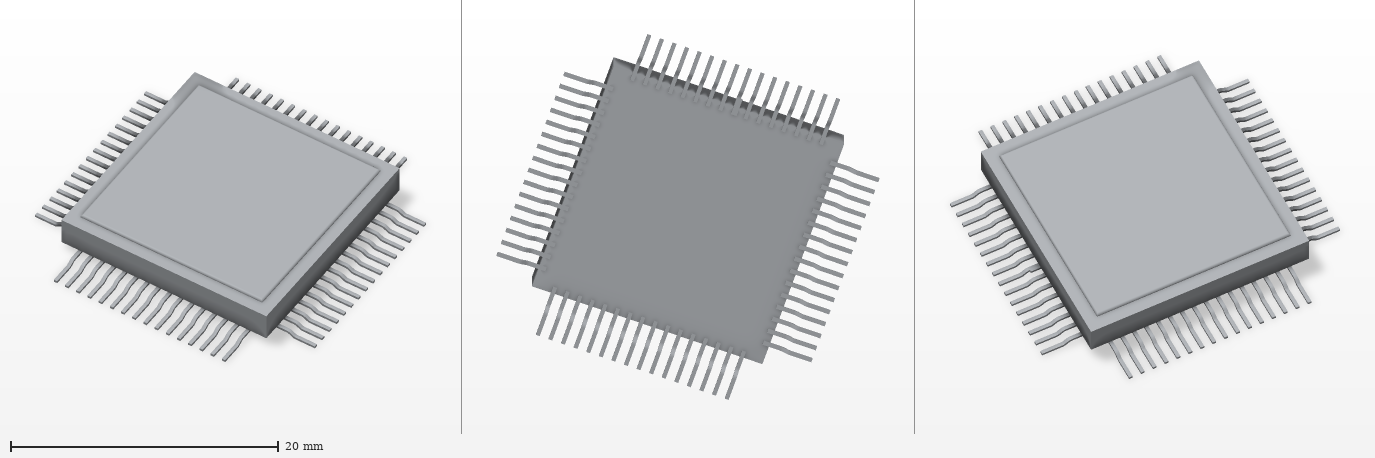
import cadquery as cq
import math

span = 25.0
total_height = 3.1
body_side = 18.3
lid_side = 16.25
lid_height = 0.22
lid_edge_radius = 0.2

leads_per_side = 16
lead_pitch = 1.0
lead_width = 0.3
lead_thickness = 0.2
standoff = 0.5
foot_length = 1.72
foot_inner_radius = 0.35
shelf_inner_radius = 0.5
bend_angle = 30.0
shelf_overlap = 0.52

mark_lead_x = -lead_pitch / 2
mark_extra_width = 0.15

tip = span / 2
shelf_end = body_side / 2 - shelf_overlap
foot_outer_radius = foot_inner_radius + lead_thickness
shelf_outer_radius = shelf_inner_radius + lead_thickness
sin_bend = math.sin(math.radians(bend_angle))
cos_bend = math.cos(math.radians(bend_angle))

rise = standoff - lead_thickness
leg_rise = rise - (foot_inner_radius + shelf_outer_radius) * (1 - cos_bend)
leg_run = leg_rise * cos_bend / sin_bend
foot_bend = tip - foot_length
shelf_bend = foot_bend - leg_run - (foot_inner_radius + shelf_outer_radius) * sin_bend


def bend_point(center, radius, angle):
    """Point on a bend, with the angle measured from vertical toward the lead tip."""
    radians = math.radians(angle)
    return (center[0] + radius * math.sin(radians), center[1] + radius * math.cos(radians))


def make_lead():
    """Lead on the +X side, centred on the X axis."""
    foot_center = (foot_bend, lead_thickness + foot_inner_radius)
    shelf_center = (shelf_bend, standoff - shelf_outer_radius)
    half = bend_angle / 2
    profile = (
        cq.Workplane("XZ")
        .moveTo(tip, 0)
        .lineTo(tip, lead_thickness)
        .lineTo(foot_bend, lead_thickness)
        .threePointArc(
            bend_point(foot_center, -foot_inner_radius, half),
            bend_point(foot_center, -foot_inner_radius, bend_angle),
        )
        .lineTo(*bend_point(shelf_center, shelf_outer_radius, bend_angle))
        .threePointArc(bend_point(shelf_center, shelf_outer_radius, half), (shelf_bend, standoff))
        .lineTo(shelf_end, standoff)
        .lineTo(shelf_end, standoff - lead_thickness)
        .lineTo(shelf_bend, standoff - lead_thickness)
        .threePointArc(
            bend_point(shelf_center, shelf_inner_radius, half),
            bend_point(shelf_center, shelf_inner_radius, bend_angle),
        )
        .lineTo(*bend_point(foot_center, -foot_outer_radius, bend_angle))
        .threePointArc(bend_point(foot_center, -foot_outer_radius, half), (foot_bend, 0))
        .close()
    )
    return profile.extrude(lead_width / 2, both=True)


def make_body():
    """Square body with a round-edged lid on top."""
    body_height = total_height - lid_height - standoff
    body = cq.Workplane("XY").workplane(offset=standoff).rect(body_side, body_side).extrude(body_height)
    lid = (
        cq.Workplane("XY")
        .workplane(offset=total_height - lid_height)
        .rect(lid_side, lid_side)
        .extrude(lid_height)
        .faces(">Z")
        .edges()
        .fillet(lid_edge_radius)
    )
    return body.union(lid)


def make_pin_one_mark():
    """Strip that widens one +Y lead shelf toward -X."""
    lead_edge = mark_lead_x - lead_width / 2
    return cq.Workplane("XY").box(
        mark_extra_width, shelf_bend - shelf_end, lead_thickness, centered=False
    ).translate((lead_edge - mark_extra_width, shelf_end, standoff - lead_thickness))


lead = make_lead()
parts = [make_pin_one_mark()]
for side_angle in (0, 90, 180, 270):
    for index in range(leads_per_side):
        offset = (index - (leads_per_side - 1) / 2) * lead_pitch
        parts.append(lead.translate((0, offset, 0)).rotate((0, 0, 0), (0, 0, 1), side_angle))

package = make_body().val().fuse(*[part.val() for part in parts]).clean()
result = cq.Workplane("XY").newObject([package.Solids()[0]])